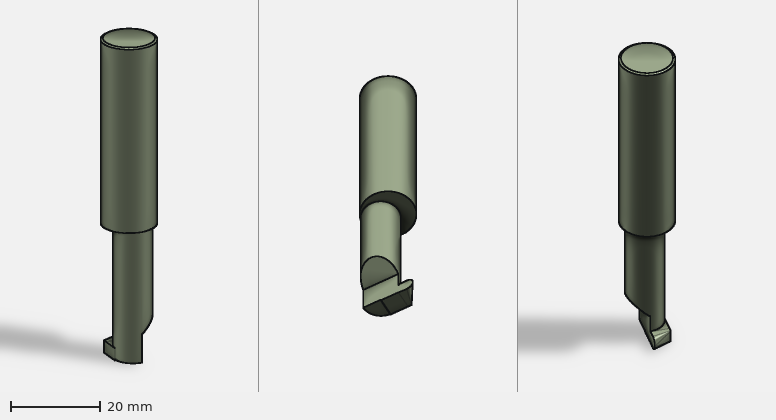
import cadquery as cq

total_length = 76.15
shank_radius = 6.36
end_chamfer_width = 0.5
end_chamfer_height = 0.3
shoulder_z = 31.75

neck_radius = 4.5
neck_x = shank_radius - neck_radius
neck_bottom_z = 0.4

runout_low_z = 7.15
runout_high_z = 11.05

tip_height = 3.3
head_z = tip_height / 2
side_clearance = 0.15
head_half_height = head_z - side_clearance
nose_x = -shank_radius
heel_x = -3.6
tip_root_x = neck_x - neck_radius
nose_corner_radius = 1.6
heel_corner_radius = 0.1


def make_shank():
    shank = cq.Workplane("XY").workplane(offset=shoulder_z)
    shank = shank.circle(shank_radius).extrude(total_length - shoulder_z)
    return shank.faces(">Z").edges().chamfer(end_chamfer_height, end_chamfer_width)


def make_neck():
    neck = cq.Workplane("XY").workplane(offset=neck_bottom_z).center(neck_x, 0)
    neck = neck.circle(neck_radius).extrude(shoulder_z - neck_bottom_z)
    cutter = (
        cq.Workplane("YZ")
        .polyline([
            (0, 0),
            (neck_radius, 0),
            (neck_radius, runout_high_z),
            (0, runout_low_z),
        ])
        .close()
        .extrude(2 * shank_radius, both=True)
    )
    return neck.cut(cutter)


def make_head_block():
    return cq.Workplane("XY").box(
        neck_x - tip_root_x, neck_radius, 2 * head_half_height, centered=False
    ).translate((tip_root_x, -neck_radius, head_z - head_half_height))


def tip_profile(y, end_x, half_height, corner_radius):
    """Closed XZ outline of the tip at one depth, with its two end corners rounded."""
    arc_inset = corner_radius * (1 - 0.5 ** 0.5)
    arc_x = end_x + corner_radius
    top = head_z + half_height
    bottom = head_z - half_height
    outline = (
        cq.Workplane("XZ", origin=(0, y, 0))
        .moveTo(tip_root_x, head_z + head_half_height)
        .lineTo(arc_x, top)
        .threePointArc((end_x + arc_inset, top - arc_inset), (end_x, top - corner_radius))
        .lineTo(end_x, bottom + corner_radius)
        .threePointArc((end_x + arc_inset, bottom + arc_inset), (arc_x, bottom))
        .lineTo(tip_root_x, head_z - head_half_height)
        .close()
    )
    return outline.val()


def make_tip():
    rake_outline = tip_profile(0, nose_x, tip_height / 2, nose_corner_radius)
    heel_outline = tip_profile(-neck_radius, heel_x, head_half_height, heel_corner_radius)
    return cq.Workplane(cq.Solid.makeLoft([rake_outline, heel_outline], True))


result = make_shank().union(make_neck()).union(make_head_block()).union(make_tip())